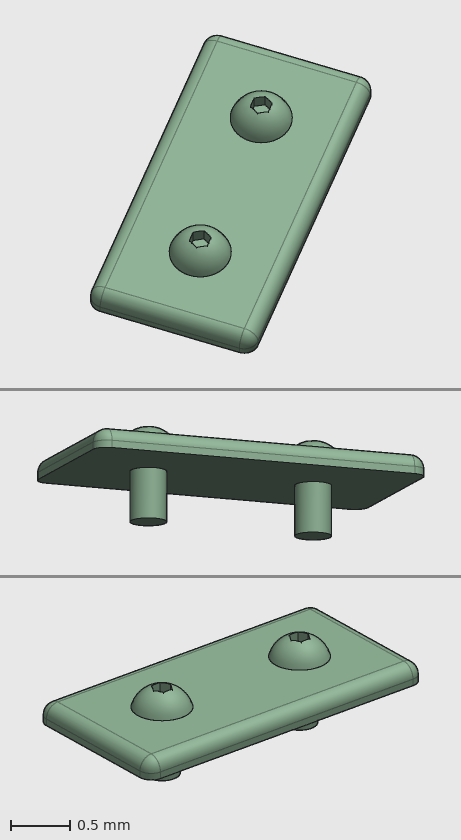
import cadquery as cq
import math

plate_width = 1.5
plate_length = 3.0
plate_thickness = 0.185
edge_radius = 0.123

screw_spacing = plate_length / 2
shank_diameter = 0.312
shank_projection = 0.438
head_diameter = 0.525
dome_height = 0.198
socket_across_flats = 0.162
socket_depth = 0.132

screw_positions = [(0, -screw_spacing / 2), (0, screw_spacing / 2)]


def make_plate():
    """Rounded plate with a through hole for each screw."""
    slab = (
        cq.Workplane("XY")
        .box(plate_width, plate_length, plate_thickness, centered=(True, True, False))
        .edges("|Z").fillet(edge_radius)
        .faces(">Z").edges().fillet(edge_radius)
    )
    holes = (
        cq.Workplane("XY")
        .pushPoints(screw_positions)
        .circle(shank_diameter / 2)
        .extrude(plate_thickness)
    )
    return slab.cut(holes)


def make_screw(x, y):
    """Shank and domed head revolved as one body, with a hexagon socket."""
    head_radius = head_diameter / 2
    shank_radius = shank_diameter / 2
    dome_top = plate_thickness + dome_height

    dome_radius = (head_radius**2 + dome_height**2) / (2 * dome_height)
    dome_centre = dome_top - dome_radius
    half_angle = math.asin(head_radius / dome_radius) / 2
    dome_middle = (
        dome_radius * math.sin(half_angle),
        dome_centre + dome_radius * math.cos(half_angle),
    )

    body = (
        cq.Workplane("XZ")
        .moveTo(0, -shank_projection)
        .lineTo(shank_radius, -shank_projection)
        .lineTo(shank_radius, plate_thickness)
        .lineTo(head_radius, plate_thickness)
        .threePointArc(dome_middle, (0, dome_top))
        .close()
        .revolve(360, (0, 0, 0), (0, 1, 0))
    )

    socket_across_corners = socket_across_flats / math.cos(math.pi / 6)
    socket = (
        cq.Workplane("XY", origin=(0, 0, dome_top - socket_depth))
        .transformed(rotate=(0, 0, 90))
        .polygon(6, socket_across_corners)
        .extrude(socket_depth)
    )
    return body.cut(socket).translate((x, y, 0))


plate = make_plate()
screws = [make_screw(x, y) for x, y in screw_positions]

result = cq.Compound.makeCompound([plate.val(), *[screw.val() for screw in screws]])